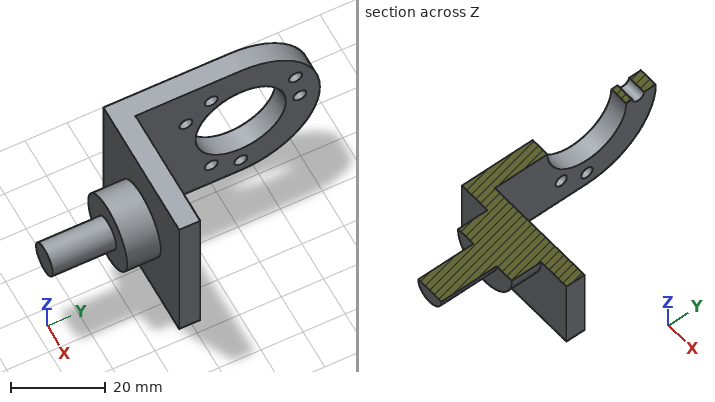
import cadquery as cq

width = 35.0
height = 37.6
thickness = 5.0
bore_center_y = 30.0
bore_diameter = 21.4

boss_diameter = 18.0
boss_length = 8.0
pin_diameter = 7.8
overall_length = 71.8

screw_hole_diameter = 3.1
holes_per_circle = 3
inner_hole_circle_radius = 14.0
inner_hole_start_angle = 0
outer_hole_circle_radius = 15.0
outer_hole_start_angle = 30

end_radius = height / 2
pin_length = overall_length - bore_center_y - end_radius - boss_length
outer_face_x = -width / 2


def side_plane():
    """Plane on the wall's outer face: local x is Y, local y is Z, normal is +X."""
    return cq.Workplane("YZ", origin=(outer_face_x, 0, 0))


def front_cylinder(diameter, start_y, length):
    """Cylinder on the pin axis, running from start_y toward -Y."""
    return cq.Workplane("XZ", origin=(0, start_y, 0)).circle(diameter / 2).extrude(length)


def screw_holes(circle_radius, start_angle):
    """Evenly spaced hole cutters around the bore; angles run from +Y toward +Z."""
    return (
        side_plane()
        .center(bore_center_y, 0)
        .polarArray(circle_radius, start_angle, 360, holes_per_circle)
        .circle(screw_hole_diameter / 2)
        .extrude(thickness)
    )


wall = (
    side_plane()
    .moveTo(0, -end_radius)
    .lineTo(bore_center_y, -end_radius)
    .threePointArc((bore_center_y + end_radius, 0), (bore_center_y, end_radius))
    .lineTo(0, end_radius)
    .close()
    .extrude(thickness)
)

foot = cq.Workplane("XY").box(width, thickness, height).translate((0, thickness / 2, 0))
boss = front_cylinder(boss_diameter, 0, boss_length)
pin = front_cylinder(pin_diameter, -boss_length, pin_length)

bore = side_plane().center(bore_center_y, 0).circle(bore_diameter / 2).extrude(thickness)
inner_holes = screw_holes(inner_hole_circle_radius, inner_hole_start_angle)
outer_holes = screw_holes(outer_hole_circle_radius, outer_hole_start_angle)

result = wall.union(foot).union(boss).union(pin)
result = result.cut(bore).cut(inner_holes).cut(outer_holes)